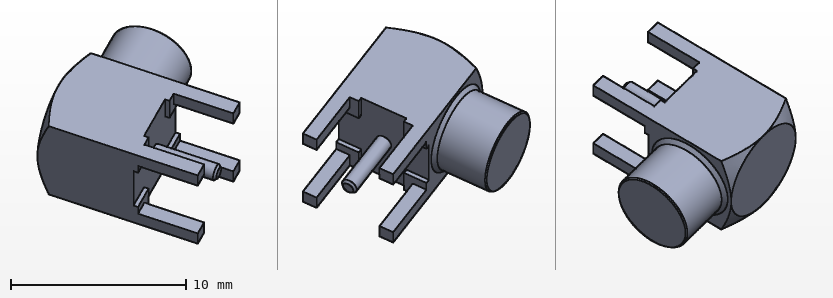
import cadquery as cq
import math

body_length = 6.0
body_width = 6.0
half_width = body_width / 2
corner_slope = 30.0

overall_length = 10.0
leg_width = 0.91
foot_width = 1.5
foot_height = 0.28

pin_diameter = 0.99
pin_chamfer = 0.15

barrel_diameter = 5.0
barrel_length = 3.5
barrel_chamfer = 0.08
collar_diameter = 5.5
collar_height = (collar_diameter - barrel_diameter) / 2


def make_body():
    """Square block whose -X corners are trimmed by a cone touching the side faces."""
    block = cq.Workplane("YZ").rect(body_width, body_width).extrude(body_length)
    corner_radius = half_width * math.sqrt(2)
    cone_depth = (corner_radius - half_width) * math.tan(math.radians(corner_slope))
    trimmer = (
        cq.Workplane("XY")
        .moveTo(0, 0)
        .lineTo(0, half_width)
        .lineTo(cone_depth, corner_radius)
        .lineTo(body_length, corner_radius)
        .lineTo(body_length, 0)
        .close()
        .revolve(360, (0, 0, 0), (1, 0, 0))
    )
    return block.intersect(trimmer)


def corner_posts(width, height):
    """Four square posts standing on the +X face, flush with the body corners."""
    spacing = body_width - width
    return (
        cq.Workplane("YZ", origin=(body_length, 0, 0))
        .rect(spacing, spacing, forConstruction=True)
        .vertices()
        .rect(width, width)
        .extrude(height)
    )


def make_pin():
    """Round pin on the body axis, as long as the legs, with a chamfered tip."""
    return (
        cq.Workplane("YZ", origin=(body_length, 0, 0))
        .circle(pin_diameter / 2)
        .extrude(overall_length - body_length)
        .faces(">X")
        .chamfer(pin_chamfer)
    )


def make_barrel():
    """Round barrel on the +Y face with a conical collar and a chamfered rim."""
    barrel_radius = barrel_diameter / 2
    base = half_width
    tip = base + barrel_length
    return (
        cq.Workplane("XY", origin=(body_length / 2, 0, 0))
        .moveTo(0, base)
        .lineTo(collar_diameter / 2, base)
        .lineTo(barrel_radius, base + collar_height)
        .lineTo(barrel_radius, tip - barrel_chamfer)
        .lineTo(barrel_radius - barrel_chamfer, tip)
        .lineTo(0, tip)
        .close()
        .revolve(360, (0, 0, 0), (0, 1, 0))
    )


result = (
    make_body()
    .union(corner_posts(foot_width, foot_height))
    .union(corner_posts(leg_width, overall_length - body_length))
    .union(make_pin())
    .union(make_barrel())
)